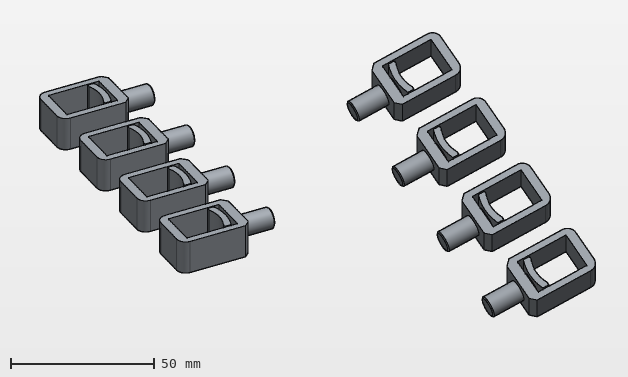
import cadquery as cq

clamp_count = 4
row_length = 109.0

frame_width = 19.0
frame_length = 27.5
frame_height = 13.0
side_wall = 2.5
near_wall = 3.5
far_wall = 4.0
near_corner_radius = 3.5
far_corner_chamfer = 2.1

overall_length = 40.0
screw_diameter = 8.0
screw_tip_chamfer = 0.4

pad_width = 13.0
pad_thickness = 2.5
pad_rise = 1.2
pad_gap = 1.0
pad_end_flat = 1.1

clamp_pitch = (row_length - frame_width) / (clamp_count - 1)
window_width = frame_width - 2 * side_wall
window_length = frame_length - near_wall - far_wall
window_far_y = frame_length - far_wall
pad_crown_y = window_far_y - pad_gap
screw_inner_y = pad_crown_y - pad_thickness / 2
screw_length = overall_length - screw_inner_y


def make_frame():
    """Closed frame with rounded near corners, chamfered far corners and a through window."""
    block = cq.Workplane("XY").box(
        frame_width, frame_length, frame_height, centered=(True, False, True)
    )
    block = block.edges("|Z and <Y").fillet(near_corner_radius)
    block = block.edges("|Z and >Y").chamfer(far_corner_chamfer)
    window = (
        cq.Workplane("XY")
        .box(window_width, window_length, frame_height, centered=(True, False, True))
        .translate((0, near_wall, 0))
    )
    return block.cut(window)


def make_screw():
    """Plain round shank with a chamfered outer tip, ending inside the pad."""
    return (
        cq.Workplane("XZ", origin=(0, screw_inner_y, 0))
        .circle(screw_diameter / 2)
        .extrude(-screw_length)
        .faces(">Y")
        .chamfer(screw_tip_chamfer)
    )


def make_pad():
    """Arched pad bulging towards the far wall, with a narrow flat at each end of its hollow side."""
    half_width = pad_width / 2
    hollow_half_width = half_width - pad_end_flat
    outer_end_y = pad_crown_y - pad_rise
    inner_end_y = outer_end_y - pad_thickness
    return (
        cq.Workplane("XY", origin=(0, 0, -frame_height / 2))
        .moveTo(-half_width, outer_end_y)
        .threePointArc((0, pad_crown_y), (half_width, outer_end_y))
        .lineTo(half_width, inner_end_y)
        .lineTo(hollow_half_width, inner_end_y)
        .threePointArc((0, pad_crown_y - pad_thickness), (-hollow_half_width, inner_end_y))
        .lineTo(-half_width, inner_end_y)
        .close()
        .extrude(frame_height)
    )


def make_clamp():
    """One clamp: frame, screw and pad joined as a single solid."""
    return make_frame().union(make_screw()).union(make_pad())


clamp = make_clamp()
first_clamp_x = -clamp_pitch * (clamp_count - 1) / 2
clamps = []
for index in range(clamp_count):
    placed_clamp = clamp.translate((first_clamp_x + index * clamp_pitch, 0, 0))
    clamps.append(placed_clamp.val())

result = cq.Compound.makeCompound(clamps)